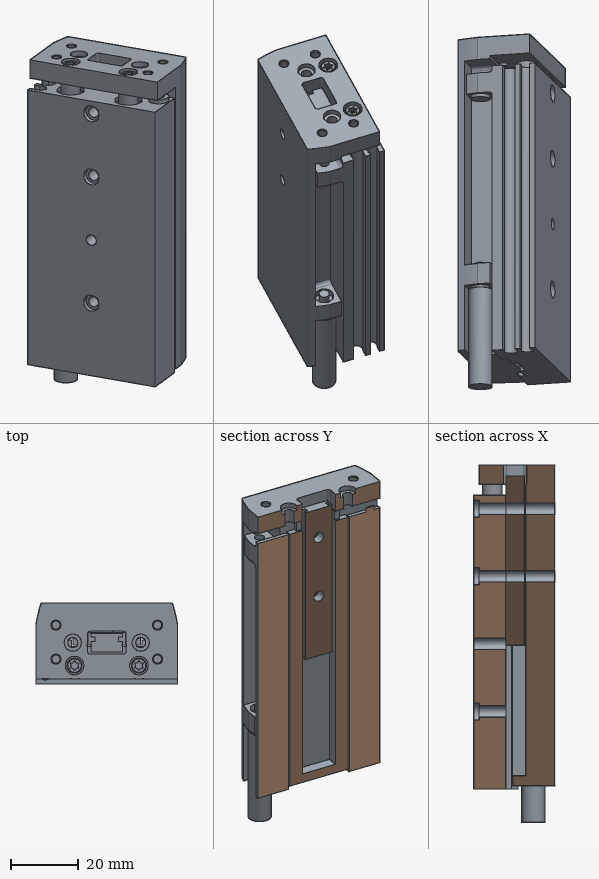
import cadquery as cq
import math


width = 42.0
depth = 24.0
half_width = width / 2
housing_height = 87.0
table_bottom = 1.0
table_top = 96.0
absorber_bottom = -9.8

side_curve_start = 17.5
back_plate_face = 21.7
half_width_at_back_plate = 20.1
half_width_at_back = 19.5
back_corner_radius = 0.5

end_plate_front = 1.6
end_plate_gap = 3.2
end_plate_bottom = housing_height + end_plate_gap
table_front = 13.8
pad_half_width = 10.0
pad_front = 11.5
pad_end_front = 12.5
pad_end_half_width = 7.4

pocket_wall_x = -12.3
pocket_top = 89.2
pocket_fillet = 1.2
absorber_lug_bottom = 20.6
absorber_lug_top = 26.9

rail_half_width = 4.7
rail_front = 9.5
rail_back = 15.0
rail_bottom = 42.5
rail_top = 92.7
raceway_depth = 1.2
raceway_width = 1.3
raceway_center_y = 13.3
rail_groove_half_width = 5.6
rail_groove_floor = 15.3
rail_groove_bottom = 4.0

window_width = 11.4
window_front = 8.9
window_back = 15.7
window_corner = 0.8

housing_back = 13.1
channel_half_width = 10.4
channel_floor = 11.2
stop_lug_bottom = 79.0
stop_lug_top = 85.1
stop_lug_back = 21.2
stop_lug_inner_x = -13.1
stop_lug_fillet = 1.0

sensor_slots = [(7.9, 4.1, 3.8), (3.1, 3.5, 3.0)]
sensor_slot_x = -18.2

mounting_hole_count = 4
hole_pitch = 20.0
lowest_hole_z = 23.0
dowel_hole_index = 1
through_hole_indices = (2, 3)
mounting_hole_d = 3.3
mounting_counterbore_d = 5.0
mounting_counterbore_depth = 1.6

stop_stud_d = 5.8
stop_stud_height = 1.0
stop_hole_d = 3.0
stop_hole_depth = 3.2
stop_plug_x = 17.6
stop_plug_y = 9.4
stop_plug_d = 6.0
stop_plug_height = 1.3
stop_plug_tip_d = 3.3
stop_plug_tip_height = 0.6

rod_x = 9.5
rod_y = 5.5
rod_d = 5.8
rod_bottom = 31.7
rod_recess_d = 8.0
rod_recess_depth = 1.3
rod_head_d = 4.4
rod_head_chamfer = 0.2
rod_head_sink = 0.5
rod_head_top = table_top - rod_head_sink
rod_counterbore_d = 5.5
rod_counterbore_depth = 2.1
socket_outer_d = 3.0
socket_inner_d = 1.9
socket_depth = 2.1
socket_lobes = 6

clearance_hole_x = 10.0
clearance_hole_y = 12.3
clearance_hole_d = 3.0
clearance_counterbore_d = 5.1
clearance_counterbore_depth = 1.6
corner_hole_x = 15.0
corner_hole_ys = (7.4, 17.5)
corner_hole_d = 2.4
corner_hole_mouth_d = 3.0
corner_hole_depth = 5.0
corner_hole_countersink_angle = 90

absorber_x = -17.0
absorber_y = 17.7
absorber_d = 7.0
absorber_collar_d = 6.0
absorber_collar_height = 0.8
absorber_thread_d = 5.5
absorber_thread_top = 24.9
absorber_pin_d = 3.0
absorber_pin_top = 27.8


def box(x_range, y_range, z_range):
    """Box between two limits along each axis."""
    size = [high - low for low, high in (x_range, y_range, z_range)]
    solid = cq.Workplane("XY").box(*size, centered=False)
    return solid.translate((x_range[0], y_range[0], z_range[0]))


def upright_cylinder(x, y, diameter, bottom, top):
    """Cylinder along Z."""
    return cq.Workplane("XY", origin=(x, y, bottom)).circle(diameter / 2).extrude(top - bottom)


def cross_cylinder(z, diameter, front, back):
    """Cylinder along Y on the middle plane of the unit."""
    return cq.Workplane("XZ", origin=(0, front, z)).circle(diameter / 2).extrude(front - back)


def tapered_outline(front, bottom, top):
    """Prism along Z with the table outline, from a given front plane to the table back."""
    prism = (
        cq.Workplane("XY", origin=(0, 0, bottom))
        .moveTo(-half_width, front)
        .lineTo(half_width, front)
        .lineTo(half_width, side_curve_start)
        .threePointArc((half_width_at_back_plate, back_plate_face), (half_width_at_back, depth))
        .lineTo(-half_width_at_back, depth)
        .threePointArc((-half_width_at_back_plate, back_plate_face), (-half_width, side_curve_start))
        .close()
        .extrude(top - bottom)
    )
    return prism.edges("|Z and >Y").fillet(back_corner_radius)


def hole_z(index):
    """Height of a mounting hole, counted from the lowest one."""
    return lowest_hole_z + index * hole_pitch


def sensor_slot(center_y, bore_d, mouth_width):
    """Round slot along Z that opens to the left side through a narrower mouth."""
    bore = upright_cylinder(sensor_slot_x, center_y, bore_d, 0, housing_height)
    mouth = box(
        (-half_width, sensor_slot_x),
        (center_y - mouth_width / 2, center_y + mouth_width / 2),
        (0, housing_height),
    )
    return bore.union(mouth)


def stop_lug():
    """Lug at the upper left of the housing, blended into the housing back."""
    root = channel_floor
    blend_top = stop_lug_top + stop_lug_fillet
    blend_y = housing_back + stop_lug_fillet
    blend_mid_y = blend_y - stop_lug_fillet * math.sqrt(0.5)
    blend_rise = stop_lug_fillet * (1 - math.sqrt(0.5))
    lug = (
        cq.Workplane("YZ", origin=(-half_width, 0, 0))
        .moveTo(root, stop_lug_bottom - stop_lug_fillet)
        .lineTo(housing_back, stop_lug_bottom - stop_lug_fillet)
        .threePointArc((blend_mid_y, stop_lug_bottom - blend_rise), (blend_y, stop_lug_bottom))
        .lineTo(stop_lug_back, stop_lug_bottom)
        .lineTo(stop_lug_back, stop_lug_top)
        .lineTo(blend_y, stop_lug_top)
        .threePointArc((blend_mid_y, stop_lug_top + blend_rise), (housing_back, blend_top))
        .lineTo(root, blend_top)
        .close()
        .extrude(stop_lug_inner_x + half_width)
    )
    return lug.intersect(tapered_outline(root, 0, housing_height))


def make_housing():
    z_range = (0, housing_height)
    body = box((-half_width, half_width), (0, housing_back), z_range)
    body = body.cut(box((-channel_half_width, channel_half_width), (channel_floor, housing_back), z_range))
    body = body.cut(box((-rail_half_width, rail_half_width), (rail_front, channel_floor), z_range))
    for slot in sensor_slots:
        body = body.cut(sensor_slot(*slot))

    for index in range(mounting_hole_count):
        body = body.cut(cross_cylinder(hole_z(index), mounting_hole_d, 0, rail_front))
        if index != dowel_hole_index:
            counterbore = cross_cylinder(hole_z(index), mounting_counterbore_d, 0, mounting_counterbore_depth)
            body = body.cut(counterbore)

    for x in (-rod_x, rod_x):
        body = body.cut(upright_cylinder(x, rod_y, rod_d, rod_bottom, housing_height))
        recess_floor = housing_height - rod_recess_depth
        body = body.cut(upright_cylinder(x, rod_y, rod_recess_d, recess_floor, housing_height))

    body = body.union(stop_lug())
    stud_bottom = stop_lug_bottom - stop_stud_height
    body = body.union(upright_cylinder(absorber_x, absorber_y, stop_stud_d, stud_bottom, stop_lug_bottom))
    screw_hole_floor = stop_lug_top - stop_hole_depth
    body = body.cut(upright_cylinder(absorber_x, absorber_y, stop_hole_d, screw_hole_floor, stop_lug_top))

    plug_top = housing_height + stop_plug_height
    body = body.union(upright_cylinder(stop_plug_x, stop_plug_y, stop_plug_d, housing_height, plug_top))
    tip_top = plug_top + stop_plug_tip_height
    return body.union(upright_cylinder(stop_plug_x, stop_plug_y, stop_plug_tip_d, plug_top, tip_top))


def side_pocket(bottom, top, rounded_edges):
    """Opening in the left side of the table, up to the back plate, with rounded inner edges."""
    pocket = box((-half_width, pocket_wall_x), (pad_front, back_plate_face), (bottom, top))
    return pocket.edges(rounded_edges).fillet(pocket_fillet)


def cut_end_plate_holes(table):
    for x in (-rod_x, rod_x):
        table = table.cut(upright_cylinder(x, rod_y, rod_head_d, end_plate_bottom, table_top))
        floor = table_top - rod_counterbore_depth
        table = table.cut(upright_cylinder(x, rod_y, rod_counterbore_d, floor, table_top))
    for x in (-clearance_hole_x, clearance_hole_x):
        table = table.cut(upright_cylinder(x, clearance_hole_y, clearance_hole_d, end_plate_bottom, table_top))
        floor = table_top - clearance_counterbore_depth
        counterbore = upright_cylinder(x, clearance_hole_y, clearance_counterbore_d, floor, table_top)
        table = table.cut(counterbore)
    corner_points = [(x, y) for x in (-corner_hole_x, corner_hole_x) for y in corner_hole_ys]
    return (
        table.faces(">Z")
        .workplane(origin=(0, 0, table_top))
        .pushPoints(corner_points)
        .cskHole(corner_hole_d, corner_hole_mouth_d, corner_hole_countersink_angle, corner_hole_depth)
    )


def make_table():
    table = tapered_outline(table_front, table_bottom, table_top)
    table = table.union(tapered_outline(end_plate_front, end_plate_bottom, table_top))
    pad_x = (-pad_half_width, pad_half_width)
    table = table.union(box(pad_x, (pad_front, table_front), (table_bottom, housing_height)))
    pad_end_x = (-pad_end_half_width, pad_end_half_width)
    table = table.union(box(pad_end_x, (pad_end_front, table_front), (housing_height, end_plate_bottom)))

    groove_x = (-rail_groove_half_width, rail_groove_half_width)
    table = table.cut(box(groove_x, (pad_front, rail_groove_floor), (rail_groove_bottom, end_plate_bottom)))
    window = box(
        (-window_width / 2, window_width / 2),
        (window_front, window_back),
        (end_plate_bottom, table_top),
    )
    table = table.cut(window.edges("|Z").fillet(window_corner))

    table = table.cut(side_pocket(absorber_lug_top, pocket_top, ">X and |Y"))
    table = table.cut(side_pocket(table_bottom, absorber_lug_bottom, ">X and >Z"))
    bore_top = absorber_lug_top + pocket_fillet
    table = table.cut(
        upright_cylinder(absorber_x, absorber_y, absorber_thread_d, absorber_lug_bottom, bore_top)
    )

    for index in through_hole_indices:
        table = table.cut(cross_cylinder(hole_z(index), mounting_hole_d, 0, depth))
    return cut_end_plate_holes(table)


def make_rail():
    z_range = (rail_bottom, rail_top)
    rail = box((-rail_half_width, rail_half_width), (rail_front, rail_back), z_range)
    raceway_y = (raceway_center_y - raceway_width / 2, raceway_center_y + raceway_width / 2)
    raceway_inner_x = rail_half_width - raceway_depth
    rail = rail.cut(box((-rail_half_width, -raceway_inner_x), raceway_y, z_range))
    rail = rail.cut(box((raceway_inner_x, rail_half_width), raceway_y, z_range))
    for index in through_hole_indices:
        rail = rail.cut(cross_cylinder(hole_z(index), mounting_hole_d, rail_front, rail_back))
    return rail


def star_socket():
    """Star-shaped drive recess for a rod head, centred on the Z axis."""
    points = []
    for step in range(2 * socket_lobes):
        radius = (socket_inner_d if step % 2 else socket_outer_d) / 2
        angle = math.pi / 2 + step * math.pi / socket_lobes
        points.append((radius * math.cos(angle), radius * math.sin(angle)))
    floor = rod_head_top - socket_depth
    return cq.Workplane("XY", origin=(0, 0, floor)).polyline(points).close().extrude(socket_depth)


def make_rod(x):
    rod = upright_cylinder(x, rod_y, rod_d, rod_bottom, end_plate_bottom)
    head = upright_cylinder(x, rod_y, rod_head_d, end_plate_bottom, rod_head_top)
    rod = rod.union(head.faces(">Z").chamfer(rod_head_chamfer))
    return rod.cut(star_socket().translate((x, rod_y, 0)))


def make_absorber():
    collar_bottom = absorber_lug_bottom - absorber_collar_height
    sections = [
        (absorber_d, absorber_bottom, collar_bottom),
        (absorber_collar_d, collar_bottom, absorber_lug_bottom),
        (absorber_thread_d, absorber_lug_bottom, absorber_thread_top),
        (absorber_pin_d, absorber_thread_top, absorber_pin_top),
    ]
    absorber = cq.Workplane("XY")
    for diameter, bottom, top in sections:
        absorber = absorber.union(upright_cylinder(absorber_x, absorber_y, diameter, bottom, top))
    return absorber


housing = make_housing()
table = make_table()
rail = make_rail()
absorber = make_absorber()
rods = [make_rod(x) for x in (-rod_x, rod_x)]

result = cq.Compound.makeCompound(
    [housing.val(), table.val(), rail.val(), absorber.val(), *[rod.val() for rod in rods]]
)